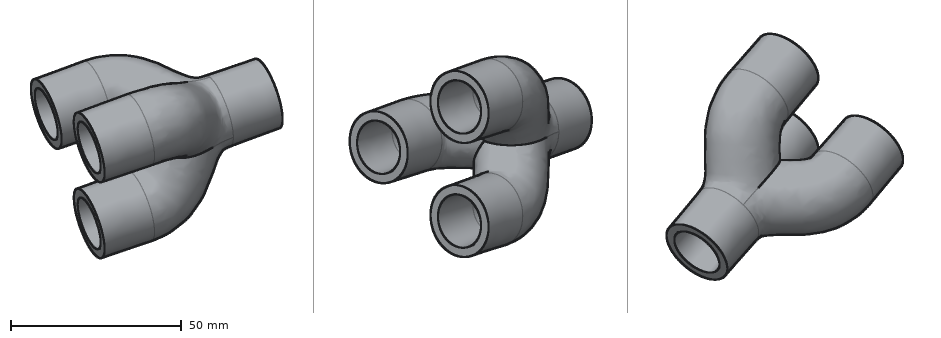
import cadquery as cq
import math

branch_count = 3
branch_offset = 20.0
socket_length = 16.0
bend_length = 30.0
outer_radius = 11.0
port_outer_radius = 10.8
bore_radius = 7.5
port_bore_radius = 8.0

bend_end = socket_length + bend_length
total_length = bend_end + socket_length


def branch_path():
    """S-shaped centre line of the branch on the -X side, parallel to Y at both ends."""
    return cq.Workplane("XY").spline(
        [(-branch_offset, socket_length), (0, bend_end)],
        tangents=[(0, 1), (0, 1)],
    )


def tapered_tube(x, port_y, port_radius, joint_y, joint_radius):
    """Solid cone along Y at the given X, from an open port to the joint with the branches."""
    return (
        cq.Workplane("XY")
        .moveTo(x, port_y)
        .lineTo(x + port_radius, port_y)
        .lineTo(x + joint_radius, joint_y)
        .lineTo(x, joint_y)
        .close()
        .revolve(360, (x, port_y, 0), (x, joint_y, 0))
    )


def branch_sector():
    """Wedge around the branch on the -X side, bounded by the planes midway to its neighbours."""
    half_angle = math.pi / branch_count
    reach = 2 * (branch_offset + outer_radius)
    corner_x = -reach * math.cos(half_angle)
    corner_z = reach * math.sin(half_angle)
    return (
        cq.Workplane("XZ")
        .lineTo(corner_x, corner_z)
        .lineTo(-reach, corner_z)
        .lineTo(-reach, -corner_z)
        .lineTo(corner_x, -corner_z)
        .close()
        .extrude(-total_length)
    )


def manifold_volume(radius, port_radius):
    """Solid filling all the branches and sockets at the given radii."""
    inlet = tapered_tube(-branch_offset, 0, port_radius, socket_length, radius)
    bend = (
        cq.Workplane("XZ", origin=(-branch_offset, socket_length, 0))
        .circle(radius)
        .sweep(branch_path())
    )
    outlet = tapered_tube(0, total_length, port_radius, bend_end, radius)
    branch = inlet.union(bend).union(outlet).intersect(branch_sector())
    volume = branch
    for index in range(1, branch_count):
        volume = volume.union(branch.rotate((0, 0, 0), (0, 1, 0), index * 360 / branch_count))
    return volume


result = manifold_volume(outer_radius, port_outer_radius).cut(
    manifold_volume(bore_radius, port_bore_radius)
)